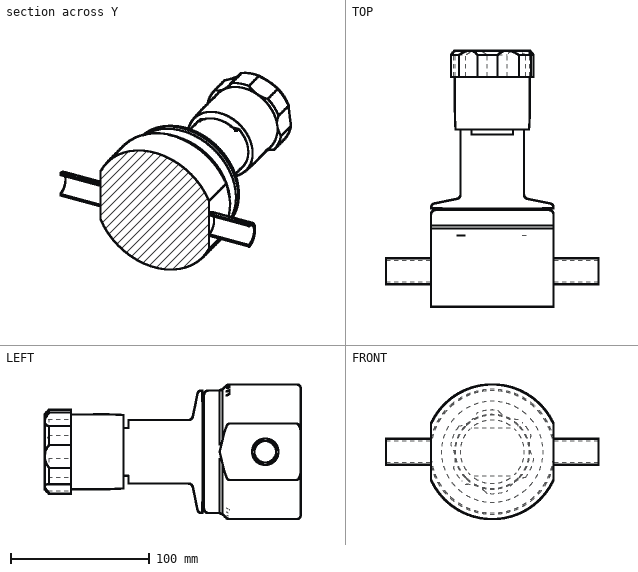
import cadquery as cq
import math


OVERALL_WIDTH = 153.92
OVERALL_LENGTH = 185.57
EDGE_RADIUS = 3.175

BODY_RADIUS = 97.79 / 2
BODY_FLAT_HALF = 44.45
BODY_STRAIGHT_END = 51.8
SHOULDER_ANGLE = 45.0
BASE_TO_PORT = 25.8

TUBE_RADIUS = 19.05 / 2
TUBE_WALL = 1.65

BONNET_RADIUS = BODY_FLAT_HALF
BONNET_TOP = 70.2
GROOVE_RADIUS = 36.7
COLLAR_BOTTOM = 71.4
COLLAR_STRAIGHT_END = 71.9
COLLAR_SLOPE = math.radians(11.5)
NECK_RADIUS = 23.1

NOTCH_BOTTOM = 125.0
NOTCH_FLAT_HALF = 17.4

SKIRT_BOTTOM = 128.4
SKIRT_BOTTOM_RADIUS = 26.65
SKIRT_TOP = 139.6
HANDLE_RADIUS = 27.2
KNOB_BOTTOM = 166.3
KNOB_RADIUS = 30.45
KNOB_CHAMFER = KNOB_RADIUS - HANDLE_RADIUS
SCALLOP_COUNT = 6
SCALLOP_START_ANGLE = 6.6
SCALLOP_HALF_ANGLE = math.radians(16.0)

BASE_Y = -BASE_TO_PORT


def revolve_about_y(profile):
    """Turn a closed XY profile (radius, height) about the Y axis."""
    return profile.close().revolve(360, (0, 0, 0), (0, 1, 0))


def arc_point(center, radius, angle):
    return (center[0] + radius * math.cos(angle), center[1] + radius * math.sin(angle))


def make_body():
    """Cylinder, 45 degree shoulder blended at both ends, and two port flats."""
    slope = math.radians(SHOULDER_ANGLE)
    lower_center = (BODY_RADIUS - EDGE_RADIUS, BODY_STRAIGHT_END)
    cone_start = arc_point(lower_center, EDGE_RADIUS, slope)
    cone_end_radius = BONNET_RADIUS + EDGE_RADIUS * (1 - math.cos(slope))
    cone_end = (cone_end_radius, cone_start[1] + (cone_start[0] - cone_end_radius) * math.tan(slope))
    upper_center = (BONNET_RADIUS + EDGE_RADIUS, cone_end[1] + EDGE_RADIUS * math.sin(slope))
    base_center = (BODY_RADIUS - EDGE_RADIUS, EDGE_RADIUS)

    profile = (
        cq.Workplane("XY")
        .lineTo(base_center[0], 0)
        .threePointArc(arc_point(base_center, EDGE_RADIUS, -math.pi / 4), (BODY_RADIUS, EDGE_RADIUS))
        .lineTo(BODY_RADIUS, BODY_STRAIGHT_END)
        .threePointArc(arc_point(lower_center, EDGE_RADIUS, slope / 2), cone_start)
        .lineTo(*cone_end)
        .threePointArc(
            arc_point(upper_center, EDGE_RADIUS, math.pi + slope / 2),
            (BONNET_RADIUS, upper_center[1]),
        )
        .lineTo(0, upper_center[1])
    )
    flats = cq.Workplane("XY").box(2 * BODY_FLAT_HALF, 2 * OVERALL_LENGTH, 2 * BODY_RADIUS)
    return revolve_about_y(profile).intersect(flats)


def make_bonnet():
    """Bonnet drum, thin groove, conical collar and the neck up to the handle."""
    drum_center = (BONNET_RADIUS - EDGE_RADIUS, BONNET_TOP - EDGE_RADIUS)
    collar_center = (BONNET_RADIUS - EDGE_RADIUS, COLLAR_STRAIGHT_END)
    normal_angle = math.pi / 2 - COLLAR_SLOPE
    cone_start = arc_point(collar_center, EDGE_RADIUS, normal_angle)
    cone_end_radius = NECK_RADIUS + EDGE_RADIUS * (1 - math.cos(normal_angle))
    cone_end = (
        cone_end_radius,
        cone_start[1] + (cone_start[0] - cone_end_radius) * math.tan(COLLAR_SLOPE),
    )
    neck_center = (NECK_RADIUS + EDGE_RADIUS, cone_end[1] + EDGE_RADIUS * math.sin(normal_angle))
    drum_bottom = BODY_STRAIGHT_END

    profile = (
        cq.Workplane("XY")
        .moveTo(0, drum_bottom)
        .lineTo(BONNET_RADIUS, drum_bottom)
        .lineTo(BONNET_RADIUS, drum_center[1])
        .threePointArc(arc_point(drum_center, EDGE_RADIUS, math.pi / 4), (drum_center[0], BONNET_TOP))
        .lineTo(GROOVE_RADIUS, BONNET_TOP)
        .lineTo(GROOVE_RADIUS, COLLAR_BOTTOM)
        .lineTo(BONNET_RADIUS, COLLAR_BOTTOM)
        .lineTo(BONNET_RADIUS, COLLAR_STRAIGHT_END)
        .threePointArc(arc_point(collar_center, EDGE_RADIUS, normal_angle / 2), cone_start)
        .lineTo(*cone_end)
        .threePointArc(
            arc_point(neck_center, EDGE_RADIUS, math.pi + normal_angle / 2),
            (NECK_RADIUS, neck_center[1]),
        )
        .lineTo(NECK_RADIUS, SKIRT_BOTTOM)
        .lineTo(0, SKIRT_BOTTOM)
    )
    return revolve_about_y(profile)


def cut_notch(bonnet):
    """Mill the two opposite wrench flats at the top of the neck."""
    depth = NECK_RADIUS - NOTCH_FLAT_HALF
    height = SKIRT_BOTTOM - NOTCH_BOTTOM
    for side in (1, -1):
        cutter = cq.Workplane("XY").box(2 * NECK_RADIUS, height, depth)
        middle = (0, NOTCH_BOTTOM + height / 2, side * (NOTCH_FLAT_HALF + depth / 2))
        bonnet = bonnet.cut(cutter.translate(middle))
    return bonnet


def make_handle():
    """Handle barrel with a gently curved-in skirt and a chamfered knob."""
    profile = (
        cq.Workplane("XY")
        .moveTo(0, SKIRT_BOTTOM)
        .lineTo(0, OVERALL_LENGTH)
        .lineTo(KNOB_RADIUS - KNOB_CHAMFER, OVERALL_LENGTH)
        .lineTo(KNOB_RADIUS, OVERALL_LENGTH - KNOB_CHAMFER)
        .lineTo(KNOB_RADIUS, KNOB_BOTTOM)
        .lineTo(HANDLE_RADIUS, KNOB_BOTTOM)
        .lineTo(HANDLE_RADIUS, SKIRT_TOP)
        .tangentArcPoint((SKIRT_BOTTOM_RADIUS, SKIRT_BOTTOM), relative=False)
    )
    return revolve_about_y(profile)


def cut_scallops(handle):
    """Cut round finger grips, as deep as the handle barrel, around the knob."""
    half_chord = KNOB_RADIUS * math.sin(SCALLOP_HALF_ANGLE)
    depth = KNOB_RADIUS * math.cos(SCALLOP_HALF_ANGLE) - HANDLE_RADIUS
    scallop_radius = (half_chord ** 2 + depth ** 2) / (2 * depth)
    for index in range(SCALLOP_COUNT):
        angle = math.radians(SCALLOP_START_ANGLE + index * 360 / SCALLOP_COUNT)
        distance = HANDLE_RADIUS + scallop_radius
        cutter = cq.Solid.makeCylinder(
            scallop_radius,
            OVERALL_LENGTH - KNOB_BOTTOM,
            cq.Vector(distance * math.cos(angle), KNOB_BOTTOM, distance * math.sin(angle)),
            cq.Vector(0, 1, 0),
        )
        handle = handle.cut(cq.Workplane(cutter))
    return handle


def make_port(side):
    """Tube end on one flat, bored down to the body."""
    length = OVERALL_WIDTH / 2 - BODY_FLAT_HALF
    return (
        cq.Workplane("YZ")
        .workplane(offset=side * BODY_FLAT_HALF)
        .center(BASE_TO_PORT, 0)
        .circle(TUBE_RADIUS)
        .circle(TUBE_RADIUS - TUBE_WALL)
        .extrude(side * length)
    )


valve = make_body().union(cut_notch(make_bonnet()))
valve = valve.union(cut_scallops(make_handle()))
for port_side in (1, -1):
    valve = valve.union(make_port(port_side))

result = valve.translate((0, BASE_Y, 0))